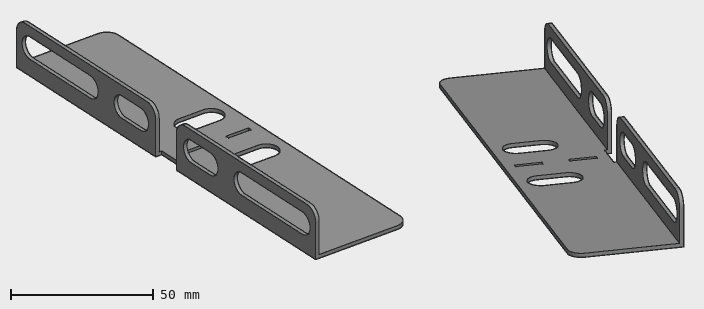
import cadquery as cq

length = 174.0
depth = 41.0
height = 20.0
thickness = 1.5
corner_radius = 5.0

notch_width = 12.0
notch_depth = 2.6

flange_slot_width = 9.0
flange_slot_height = 11.3
long_slot_length = 44.2
long_slot_offset = 61.6
short_slot_length = 20.0
short_slot_offset = 20.2

base_slot_width = 9.5
base_slot_length = 20.0
base_slot_offset = 16.0
back_margin = 4.2
slit_width = 1.5
slit_length = 10.0
slit_pitch = 2 * slit_length


def make_base():
    """Horizontal plate with its two back corners rounded."""
    plate = cq.Workplane("XY").box(length, depth, thickness, centered=(True, False, False))
    return plate.edges("|Z and >Y").fillet(corner_radius)


def make_flange():
    """Upright plates along the front edge, one on each side of the notch."""
    side_length = (length - notch_width) / 2
    side_center = (length + notch_width) / 4
    sides = (
        cq.Workplane("XY")
        .pushPoints([(-side_center, 0), (side_center, 0)])
        .box(side_length, thickness, height, centered=(True, False, False))
    )
    return sides.edges("|Y and >Z").fillet(corner_radius)


def make_notch():
    """Block that clears the front edge between the two flange halves."""
    return cq.Workplane("XY").box(notch_width, notch_depth, height, centered=(True, False, False))


def make_flange_slots(slot_length, offset):
    """Pair of lengthwise slot cutters through the upright flange."""
    return (
        cq.Workplane("XZ")
        .pushPoints([(-offset, flange_slot_height), (offset, flange_slot_height)])
        .slot2D(slot_length, flange_slot_width)
        .extrude(-thickness)
    )


def make_base_slots():
    """Pair of crosswise slot cutters through the base."""
    slot_y = depth - back_margin - base_slot_length / 2
    return (
        cq.Workplane("XY")
        .pushPoints([(-base_slot_offset, slot_y), (base_slot_offset, slot_y)])
        .slot2D(base_slot_length, base_slot_width, 90)
        .extrude(thickness)
    )


def make_slits():
    """Two narrow rectangular cutters in line on the middle of the base."""
    back_slit_y = depth - back_margin - slit_length / 2
    return (
        cq.Workplane("XY")
        .pushPoints([(0, back_slit_y), (0, back_slit_y - slit_pitch)])
        .rect(slit_width, slit_length)
        .extrude(thickness)
    )


result = (
    make_base()
    .union(make_flange())
    .cut(make_notch())
    .cut(make_flange_slots(long_slot_length, long_slot_offset))
    .cut(make_flange_slots(short_slot_length, short_slot_offset))
    .cut(make_base_slots())
    .cut(make_slits())
)